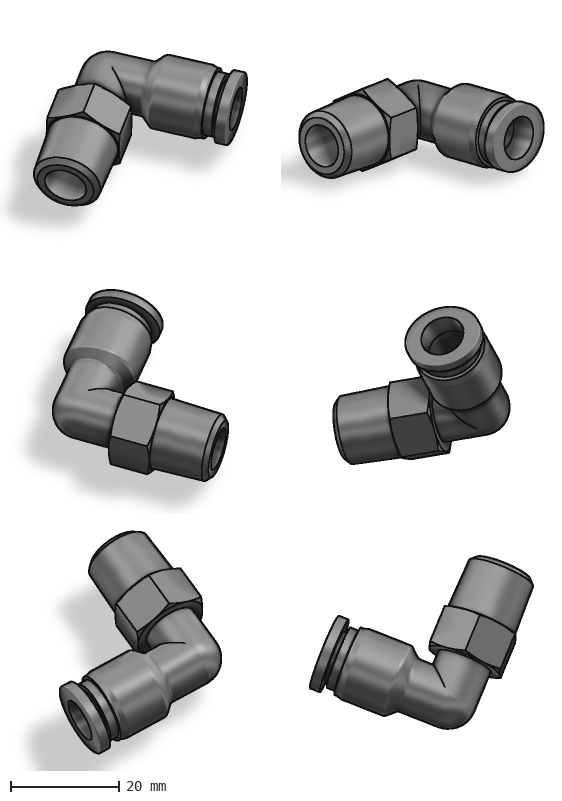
import cadquery as cq
import math


arm_diameter = 10.4
bore_diameter = 6.0
body_diameter = 14.0
lip_diameter = 13.4
ring_diameter = 12.0
cone_start_x = 7.98
cone_end_x = 9.95
cone_blend_radius = 0.85
lip_taper_start_x = 18.5
lip_taper_end_x = 19.5
lip_end_x = 20.0
ring_end_x = 21.8
tube_socket_diameter = 8.15
tube_socket_floor_x = cone_end_x

collar_sleeve_diameter = 9.6
flange_start_x = 22.67
flange_end_x = 24.7
flange_width_y = 14.52
flange_width_z = 12.9
flange_edge_radius = 0.25

hex_sides = 6
hex_across_flats = 14.0
hex_corner_drop = 0.4
hex_start_y = -7.98
hex_end_y = -15.95
thread_end_y = -27.0
thread_large_diameter = 13.45
thread_taper = 1 / 16
thread_chamfer = 1.0
nut_bore_diameter = 8.0

hex_corner_diameter = hex_across_flats / math.cos(math.pi / hex_sides)
thread_chamfer_start_y = thread_end_y + thread_chamfer
thread_small_diameter = thread_large_diameter - thread_taper * (hex_end_y - thread_chamfer_start_y)


def x_cylinder(diameter, start_x, end_x):
    """Cylinder on the X axis."""
    return cq.Workplane("YZ", origin=(start_x, 0, 0)).circle(diameter / 2).extrude(end_x - start_x)


def y_cylinder(diameter, start_y, end_y):
    """Cylinder on the Y axis, running from start_y down to end_y."""
    return cq.Workplane("XZ", origin=(0, start_y, 0)).circle(diameter / 2).extrude(start_y - end_y)


def revolve_on_y(points):
    """Solid of revolution about the Y axis from (radius, y) points."""
    return cq.Workplane("XY").polyline(points).close().revolve(360, (0, 0, 0), (0, 1, 0))


def make_round_elbow(diameter, arm_end_x, arm_end_y):
    """Two mitred round arms joined by a ball at the corner."""
    ball = cq.Workplane("XY").sphere(diameter / 2)
    return ball.union(x_cylinder(diameter, 0, arm_end_x)).union(y_cylinder(diameter, 0, arm_end_y))


def make_socket_body():
    """Stepped body at the tube end of the elbow, with both cone ends blended."""
    arm_radius = arm_diameter / 2
    body_radius = body_diameter / 2
    lip_radius = lip_diameter / 2
    ring_radius = ring_diameter / 2
    outline = [
        (arm_radius, 0),
        (arm_radius, arm_radius),
        (cone_start_x, arm_radius),
        (cone_end_x, body_radius),
        (lip_taper_start_x, body_radius),
        (lip_taper_end_x, lip_radius),
        (lip_end_x, lip_radius),
        (lip_end_x, ring_radius),
        (ring_end_x, ring_radius),
        (ring_end_x, 0),
    ]
    body = cq.Workplane("XY").polyline(outline).close().revolve(360, (0, 0, 0), (1, 0, 0))
    search_margin = cone_blend_radius / 2
    for blend_x in (cone_start_x, cone_end_x):
        near_corner = cq.selectors.BoxSelector(
            (blend_x - search_margin, -body_diameter, -body_diameter),
            (blend_x + search_margin, body_diameter, body_diameter),
            boundingbox=False,
        )
        body = body.edges("%CIRCLE").edges(near_corner).fillet(cone_blend_radius)
    return body


def make_elbow():
    """Elbow with its spigot in the nut, bored through from the tube end to the nut end."""
    outside = make_round_elbow(arm_diameter, arm_diameter / 2, hex_start_y)
    spigot = y_cylinder(nut_bore_diameter, hex_start_y, hex_end_y)
    bore = make_round_elbow(bore_diameter, ring_end_x, hex_end_y)
    tube_socket = x_cylinder(tube_socket_diameter, tube_socket_floor_x, ring_end_x)
    collar_seat = x_cylinder(collar_sleeve_diameter, lip_end_x, ring_end_x)
    elbow = outside.union(make_socket_body()).union(spigot)
    return elbow.cut(bore).cut(tube_socket).cut(collar_seat)


def make_nut():
    """Hexagon with coned ends, a tapered threaded end and a through bore."""
    flat_radius = hex_across_flats / 2
    corner_radius = hex_corner_diameter / 2
    hexagon = (
        cq.Workplane("XZ", origin=(0, hex_start_y, 0))
        .transformed(rotate=(0, 0, 90))
        .polygon(hex_sides, hex_corner_diameter)
        .extrude(hex_start_y - hex_end_y)
    )
    coned_blank = revolve_on_y([
        (0, hex_start_y),
        (flat_radius, hex_start_y),
        (corner_radius, hex_start_y - hex_corner_drop),
        (corner_radius, hex_end_y + hex_corner_drop),
        (flat_radius, hex_end_y),
        (0, hex_end_y),
    ])
    thread = revolve_on_y([
        (0, hex_end_y),
        (thread_large_diameter / 2, hex_end_y),
        (thread_small_diameter / 2, thread_chamfer_start_y),
        (thread_small_diameter / 2 - thread_chamfer, thread_end_y),
        (0, thread_end_y),
    ])
    bore = y_cylinder(nut_bore_diameter, hex_start_y, thread_end_y)
    return hexagon.intersect(coned_blank).union(thread).cut(bore)


def make_release_collar():
    """Oval flange on a round sleeve that sits in the elbow's collar seat."""
    flange = (
        cq.Workplane("YZ", origin=(flange_start_x, 0, 0))
        .ellipse(flange_width_y / 2, flange_width_z / 2)
        .extrude(flange_end_x - flange_start_x)
        .faces(">X")
        .edges()
        .fillet(flange_edge_radius)
    )
    sleeve = x_cylinder(collar_sleeve_diameter, lip_end_x, flange_start_x)
    tube_hole = x_cylinder(tube_socket_diameter, lip_end_x, flange_end_x)
    return flange.union(sleeve).cut(tube_hole)


elbow = make_elbow()
nut = make_nut()
release_collar = make_release_collar()

result = cq.Compound.makeCompound([elbow.val(), nut.val(), release_collar.val()])